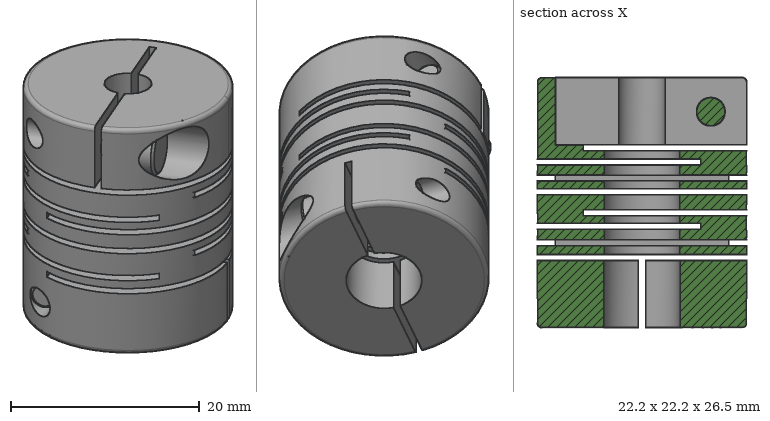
import cadquery as cq

height = 26.5
radius = 11.1
rim_fillet = 0.5

top_bore_radius = 2.5
main_bore_radius = 4.0

cut_height = 0.6
web_distance = 6.2
cut_levels = (7.45, 8.98, 10.73, 12.16, 14.4, 15.85, 17.55, 19.05)
web_directions = ("-X", "+X", "-Y", "+Y")
hub_height = cut_levels[0] - cut_height / 2

slit_width = 0.75
top_slit_end = 9.15

screw_offset = 7.3
screw_inset = 3.63
screw_radius = 1.5
tip_position = -6.73
tip_chamfer = 0.3
head_radius = 2.75
head_seat = 2.8
head_end = 5.8
head_chamfer = 0.3
counterbore_radius = 2.97


def span_box(x_span, y_span, z_span):
    """Box given by its (low, high) limits along each axis."""
    low, high = zip(x_span, y_span, z_span)
    size = [b - a for a, b in zip(low, high)]
    return cq.Workplane("XY").box(*size, centered=False).translate(low)


def x_cylinder(cylinder_radius, start, end):
    """Cylinder along X on the axis of the screw in the top hub."""
    return (
        cq.Workplane("YZ", origin=(start, -screw_offset, height - screw_inset))
        .circle(cylinder_radius)
        .extrude(end - start)
    )


def to_bottom_hub(shape):
    """Move a top hub feature to the bottom hub, with its screw axis turned to +Y."""
    turned = shape.rotate((0, 0, 0), (0, 0, 1), 90).mirror("YZ")
    return turned.translate((0, 0, 2 * screw_inset - height))


def flexure_cut(level, web_direction):
    """Full-width cut that spares the web lying in the given direction."""
    full = (-radius, radius)
    open_span = (-radius, web_distance) if web_direction[0] == "+" else (-web_distance, radius)
    z_span = (level - cut_height / 2, level + cut_height / 2)
    if web_direction[1] == "X":
        return span_box(open_span, full, z_span)
    return span_box(full, open_span, z_span)


def screw_hole():
    """Through hole for the shank with a counterbore for the head."""
    return x_cylinder(screw_radius, -radius, radius).union(
        x_cylinder(counterbore_radius, head_seat, radius)
    )


def clamp_screw():
    """Cap screw whose shank fills its hole."""
    shank = x_cylinder(screw_radius, tip_position, head_seat).faces("<X").chamfer(tip_chamfer)
    head = x_cylinder(head_radius, head_seat, head_end).faces(">X").chamfer(head_chamfer)
    return shank.union(head)


body = cq.Workplane("XY").circle(radius).extrude(height).faces("<Z or >Z").edges().fillet(rim_fillet)

bore_step = cut_levels[-1]
body = body.cut(cq.Workplane("XY").circle(main_bore_radius).extrude(bore_step))
body = body.cut(cq.Workplane("XY").circle(top_bore_radius).extrude(height))

for level, web_direction in zip(cut_levels, web_directions * 2):
    body = body.cut(flexure_cut(level, web_direction))

slit_span = (-slit_width / 2, slit_width / 2)
body = body.cut(span_box(slit_span, (-radius, top_slit_end), (height - hub_height, height)))
body = body.cut(span_box((-radius, radius), slit_span, (0, hub_height)))

for hole in (screw_hole(), to_bottom_hub(screw_hole())):
    body = body.cut(hole)
for screw in (clamp_screw(), to_bottom_hub(clamp_screw())):
    body = body.union(screw)

result = body